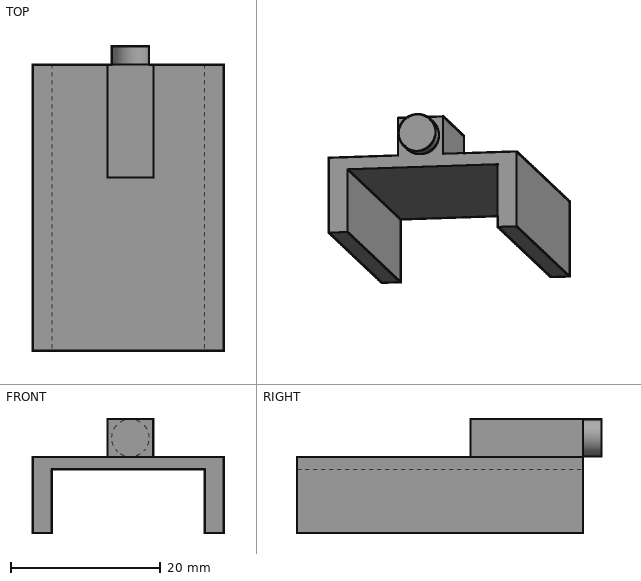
import cadquery as cq

total_length = 40.8
channel_width = 25.6
total_height = 15.3
side_wall = 2.55
top_wall = 1.67
block_width = 6.15
block_height = 5.1
block_length = 15.1
block_offset = 0.3
pin_diameter = 5.0
pin_length = 2.5

channel_length = total_length - pin_length
channel_height = total_height - block_height


def make_channel():
    """Inverted U channel, open at both ends, standing on Z = 0 with its front at Y = 0."""
    outer = cq.Workplane("XY").box(
        channel_width, channel_length, channel_height, centered=(True, False, False)
    )
    opening = cq.Workplane("XY").box(
        channel_width - 2 * side_wall,
        channel_length,
        channel_height - top_wall,
        centered=(True, False, False),
    )
    return outer.cut(opening)


def make_block():
    """Rectangular block on top of the channel, flush with its rear end."""
    return (
        cq.Workplane("XY")
        .box(block_width, block_length, block_height, centered=(True, False, False))
        .translate((block_offset, channel_length - block_length, channel_height))
    )


def make_pin():
    """Round pin standing out from the middle of the block's rear face."""
    pin_centre = (block_offset, channel_length, channel_height + block_height / 2)
    return (
        cq.Workplane("XZ", origin=pin_centre)
        .circle(pin_diameter / 2)
        .extrude(-pin_length)
    )


result = make_channel().union(make_block()).union(make_pin())